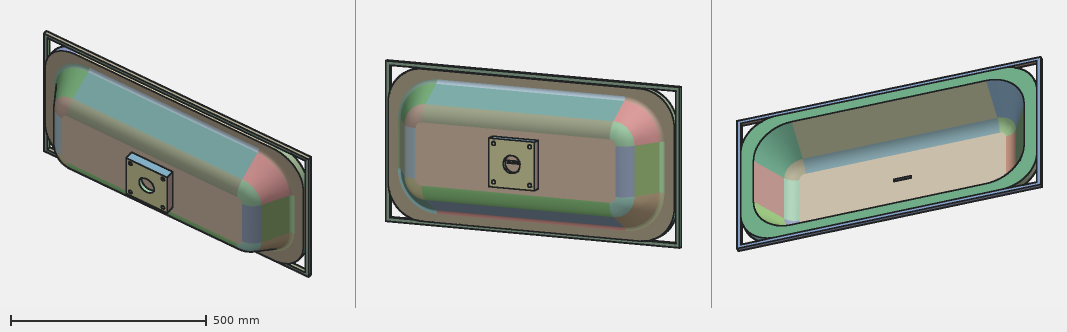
import cadquery as cq
import math

FRAME_LENGTH = 820.0
FRAME_HEIGHT = 420.0
FRAME_DEPTH = 11.5
FRAME_BAR = 11.0

RIM_LENGTH = FRAME_LENGTH - 2 * FRAME_BAR
RIM_HEIGHT = FRAME_HEIGHT - 2 * FRAME_BAR
RIM_DEPTH = 20.5
RIM_CORNER = 94.0

BOWL_LENGTH = 730.0
BOWL_HEIGHT = 338.0
BOWL_CORNER = 102.5
BOWL_TAPER = 30.0
BOWL_DEPTH = 120.5
FLOOR_FILLET = 49.0
RIM_FILLET = 12.0
WALL = 10.0

TOTAL_DEPTH = 146.0
PLATE_SIDE = 127.0
PLATE_DEPTH = TOTAL_DEPTH - BOWL_DEPTH
DRAIN_DIAMETER = 47.0
SLOT_WIDTH = 6.5
RECESS_DIAMETER = 90.0
RECESS_DEPTH = 13.0
SCREW_SPACING = 101.0
SCREW_DIAMETER = 10.0


def plane_at(depth):
    """Workplane at a depth below the frame back, with its normal along -Y."""
    return cq.Workplane("XZ", origin=(0, -depth, 0))


def rounded_block(start, length, height, corner, depth, taper=0):
    """Rounded rectangle extruded toward -Y, narrowing by the taper angle."""
    outline = cq.Sketch().rect(length, height).vertices().fillet(corner)
    return plane_at(start).placeSketch(outline).extrude(depth, taper=taper)


def make_frame():
    return (
        plane_at(0)
        .rect(FRAME_LENGTH, FRAME_HEIGHT)
        .rect(RIM_LENGTH, RIM_HEIGHT)
        .extrude(FRAME_DEPTH)
    )


def make_cavity():
    """Inside of the bowl, one wall thickness in from its outside, open at the back."""
    slope = math.radians(BOWL_TAPER)
    growth = RIM_DEPTH * math.tan(slope) - WALL / math.cos(slope)
    cavity = rounded_block(
        0,
        BOWL_LENGTH + 2 * growth,
        BOWL_HEIGHT + 2 * growth,
        BOWL_CORNER + growth,
        BOWL_DEPTH - WALL,
        BOWL_TAPER,
    )
    return cavity.faces("<Y").edges().fillet(FLOOR_FILLET - WALL)


def make_bowl():
    rim = rounded_block(0, RIM_LENGTH, RIM_HEIGHT, RIM_CORNER, RIM_DEPTH)
    body = rounded_block(
        RIM_DEPTH, BOWL_LENGTH, BOWL_HEIGHT, BOWL_CORNER, BOWL_DEPTH - RIM_DEPTH, BOWL_TAPER
    )
    body = body.faces("<Y").edges().fillet(FLOOR_FILLET)
    bowl = rim.union(body)

    reach = 1.0
    root = cq.selectors.BoxSelector(
        (-BOWL_LENGTH / 2 - reach, -RIM_DEPTH - reach, -BOWL_HEIGHT / 2 - reach),
        (BOWL_LENGTH / 2 + reach, -RIM_DEPTH + reach, BOWL_HEIGHT / 2 + reach),
        boundingbox=True,
    )
    bowl = bowl.edges(root).fillet(RIM_FILLET)

    slot = plane_at(0).rect(DRAIN_DIAMETER, SLOT_WIDTH).extrude(BOWL_DEPTH)
    return bowl.cut(make_cavity()).cut(slot)


def make_plate():
    plate = plane_at(BOWL_DEPTH).rect(PLATE_SIDE, PLATE_SIDE).extrude(PLATE_DEPTH)
    drain = plane_at(BOWL_DEPTH).circle(DRAIN_DIAMETER / 2).extrude(PLATE_DEPTH)
    recess = plane_at(BOWL_DEPTH).circle(RECESS_DIAMETER / 2).extrude(RECESS_DEPTH)
    screws = (
        plane_at(BOWL_DEPTH)
        .rect(SCREW_SPACING, SCREW_SPACING, forConstruction=True)
        .vertices()
        .circle(SCREW_DIAMETER / 2)
        .extrude(PLATE_DEPTH)
    )
    return plate.cut(drain).cut(recess).cut(screws)


frame = make_frame()
bowl = make_bowl()
plate = make_plate()

result = cq.Compound.makeCompound([frame.val(), *bowl.solids().vals(), *plate.solids().vals()])